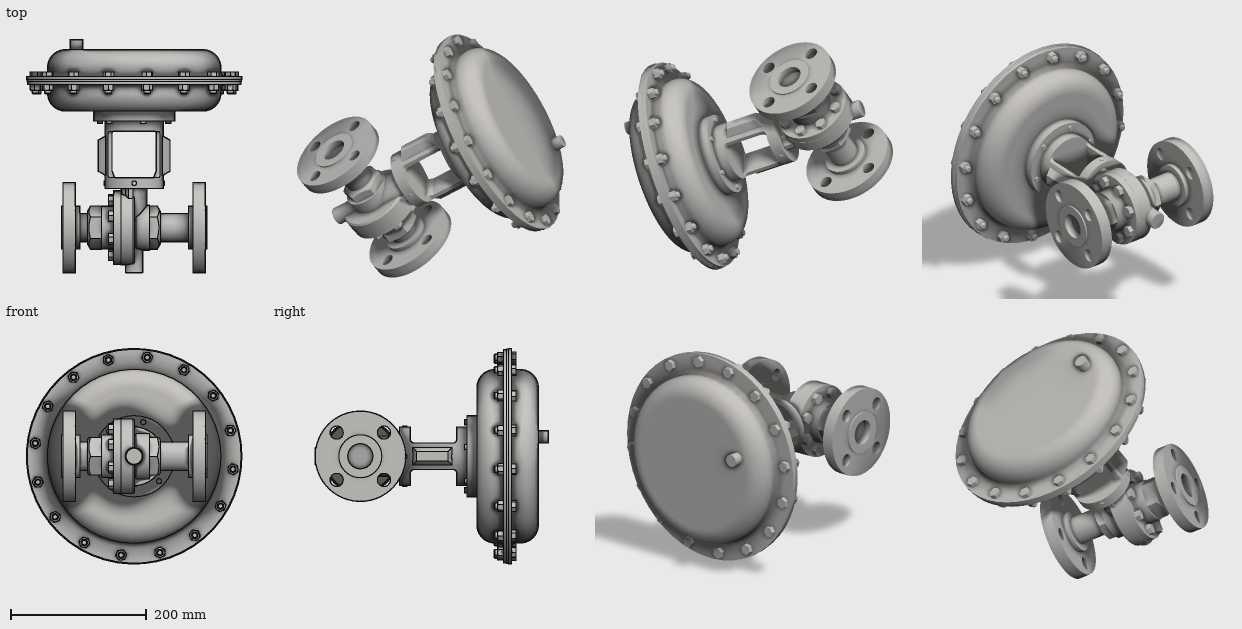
import cadquery as cq
import math


rim_radius = 158.8
front_rim_radius = 157.5
dome_radius = 128.0
dome_round = 26.8
rim_fillet = 6.5
dome_back_y = 262.2
rim_back_y = 222.7
diaphragm_back_y = 218.0
diaphragm_front_y = 215.5
diaphragm_radius = 158.0
rim_front_y = 210.5
dome_front_y = 171.5

casing_bolt_count = 16
casing_bolt_circle = 146.7
casing_bolt_start = 15.0
casing_nut_turn = -15.0
casing_head_turn = 15.0
casing_hex_radius = 8.2
casing_head_height = 7.0
casing_nut_height = 8.5
casing_nut_chamfer = 1.0
casing_shank_radius = 4.8
casing_shank_tip = 5.5
shank_tip_chamfer = 1.5

port_radius = 9.3
port_x = -85.0
port_z = 28.5
port_end_y = 277.0

mount_radius = 59.8
mount_front_y = 157.0
mount_screw_count = 6
mount_screw_circle = 52.0
mount_screw_start = 15.0
mount_screw_radius = 3.8
mount_screw_height = 3.5

yoke_diameter = 86.3
yoke_radius = yoke_diameter / 2
window_back_y = 142.0
window_front_y = 73.5
yoke_front_y = 57.5
window_half_width = 32.3
window_foot_width = 3.8
window_foot_length = 10.0
leg_half_depth = 19.5
leg_fillet = 5.5
window_corner_fillet = 2.5
yoke_screw_count = 4
yoke_screw_radius = 3.5
yoke_screw_height = 1.5

pad_root_x = 42.0
pad_face_x = 53.0
pad_root_length = 58.5
pad_root_depth = 25.8
pad_face_length = 46.0
pad_face_depth = 13.7
pad_shift = -1.7
pad_middle_y = (window_back_y + window_front_y) / 2 + pad_shift

body_radius = 55.0
cover_radius = 54.5
cover_x = -30.2
cover_joint_x = -19.5
body_end_x = 0.7
body_chamfer = 2.5
cover_neck_radius = 31.5
cover_neck_fillet = 2.5
outlet_radius = 33.5
groove_radius = 31.5
groove_end_x = 2.5
outlet_end_x = 22.5
bonnet_half_width = 19.2
bonnet_half_depth = 29.5
plug_diameter = 25.8
plug_radius = plug_diameter / 2
plug_chamfer = 1.0
lug_top_z = 34.0
lug_mid_z = 28.0
lug_low_z = 24.7
lug_top_x = -8.5
lug_mid_x = -12.5
lug_low_x = -18.0

cover_bolt_count = 8
cover_bolt_circle = 43.5
cover_bolt_start = 22.5
cover_hex_radius = 8.2
cover_head_height = 7.5
cover_hex_turn = 15.0

nut_radius = 32.0
nut_end_radius = 24.0
nut_bevel = 4.5
inlet_nut_outer_x = -68.7
inlet_nut_inner_x = -47.8
outlet_nut_outer_x = 38.5

pipe_radius = 21.0
flange_radius = 66.5
flange_inner_x = 86.5
flange_outer_x = 104.8
hub_inner_x = 79.7
face_outer_x = 107.2
hub_radius = 31.5
flange_hole_radius = 9.5
flange_hole_offset = 34.7
bore_radius = 18.5
bore_depth = 12.5

overlap = 3.5


def rod_x(radius, start, end, y=0.0, z=0.0):
    """Cylinder along X between two X positions."""
    base = cq.Workplane("YZ", origin=(start, y, z))
    return base.circle(radius).extrude(end - start)


def rod_y(radius, start, end, x=0.0, z=0.0):
    """Cylinder along Y between two Y positions."""
    base = cq.Workplane("XZ", origin=(x, start, z))
    return base.circle(radius).extrude(start - end)


def box_between(x_span, y_span, z_span):
    """Box given by its low and high limits on each axis."""
    spans = (x_span, y_span, z_span)
    sizes = [high - low for low, high in spans]
    middle = tuple((low + high) / 2 for low, high in spans)
    return cq.Workplane("XY").box(*sizes).translate(middle)


def casing_half(direction, dome_face_y, rim_face_y):
    """Solid dome about Y; direction is +1 for the back half, -1 for the front."""
    round_start_y = dome_face_y - direction * dome_round
    fillet_end_y = rim_face_y + direction * rim_fillet
    diagonal = math.sqrt(0.5)
    round_center_x = dome_radius - dome_round
    fillet_center_x = dome_radius + rim_fillet
    round_middle = (
        round_center_x + dome_round * diagonal,
        round_start_y + direction * dome_round * diagonal,
    )
    fillet_middle = (
        fillet_center_x - rim_fillet * diagonal,
        fillet_end_y - direction * rim_fillet * diagonal,
    )
    inner_y = rim_face_y - direction * overlap
    return (
        cq.Workplane("XY")
        .moveTo(0, dome_face_y)
        .lineTo(round_center_x, dome_face_y)
        .threePointArc(round_middle, (dome_radius, round_start_y))
        .lineTo(dome_radius, fillet_end_y)
        .threePointArc(fillet_middle, (fillet_center_x, rim_face_y))
        .lineTo(fillet_center_x, inner_y)
        .lineTo(0, inner_y)
        .close()
        .revolve(360, (0, 0, 0), (0, 1, 0))
    )


def casing_bolts():
    """Hexagon heads behind the rim, nuts and shank tips in front of it."""
    head_y = rim_back_y + casing_head_height
    nut_y = rim_front_y - casing_nut_height
    tip_y = nut_y - casing_shank_tip
    plane = cq.Workplane("XZ", origin=(0, head_y, 0))
    head = plane.polygon(6, 2 * casing_hex_radius).extrude(head_y - rim_back_y + overlap)
    nut_plane = cq.Workplane("XZ", origin=(0, rim_front_y + overlap, 0))
    nut_length = rim_front_y + overlap - nut_y
    nut = nut_plane.polygon(6, 2 * casing_hex_radius).extrude(nut_length)
    nut_blank = nut_plane.circle(casing_hex_radius).extrude(nut_length)
    nut = nut.intersect(nut_blank.faces("<Y").chamfer(casing_nut_chamfer))
    shank = rod_y(casing_shank_radius, rim_front_y, tip_y)
    shank = shank.faces("<Y").chamfer(shank_tip_chamfer)
    head = head.rotate((0, 0, 0), (0, -1, 0), casing_bolt_start + casing_head_turn)
    nut = nut.rotate((0, 0, 0), (0, -1, 0), casing_bolt_start + casing_nut_turn)
    bolt = head.union(nut).union(shank)
    start = math.radians(casing_bolt_start)
    bolt = bolt.translate((casing_bolt_circle * math.cos(start), 0, casing_bolt_circle * math.sin(start)))
    step = 360 / casing_bolt_count
    return [bolt.rotate((0, 0, 0), (0, -1, 0), i * step) for i in range(casing_bolt_count)]


def actuator():
    body = rod_y(rim_radius, rim_back_y, diaphragm_back_y)
    body = body.union(rod_y(diaphragm_radius, diaphragm_back_y, diaphragm_front_y))
    body = body.union(rod_y(front_rim_radius, diaphragm_front_y, rim_front_y))
    body = body.union(casing_half(1, dome_back_y, rim_back_y))
    body = body.union(casing_half(-1, dome_front_y, rim_front_y))
    body = body.union(rod_y(port_radius, port_end_y, dome_back_y - dome_round, port_x, port_z))
    for bolt in casing_bolts():
        body = body.union(bolt)
    return body


def mounting_disc():
    disc = rod_y(mount_radius, dome_front_y + overlap, mount_front_y)
    for i in range(mount_screw_count):
        angle = math.radians(mount_screw_start + i * 360 / mount_screw_count)
        x = mount_screw_circle * math.cos(angle)
        z = mount_screw_circle * math.sin(angle)
        tip_y = mount_front_y - mount_screw_height
        disc = disc.union(rod_y(mount_screw_radius, mount_front_y + overlap, tip_y, x, z))
    return disc


def leg_pad():
    """Tapered pad on the +X leg."""
    pad = (
        cq.Workplane("YZ", origin=(pad_root_x, pad_middle_y, 0))
        .rect(pad_root_length, pad_root_depth)
        .workplane(offset=pad_face_x - pad_root_x)
        .rect(pad_face_length, pad_face_depth)
        .loft()
    )
    half_length = pad_root_length / 2
    half_depth = pad_root_depth / 2
    root = box_between(
        (pad_root_x - overlap, pad_root_x),
        (pad_middle_y - half_length, pad_middle_y + half_length),
        (-half_depth, half_depth),
    )
    return pad.union(root)


def yoke():
    frame = rod_y(yoke_radius, mount_front_y + overlap, yoke_front_y)
    window_span = (window_front_y, window_back_y)
    full = (-yoke_radius, yoke_radius)
    for z_span in ((leg_half_depth, yoke_radius), (-yoke_radius, -leg_half_depth)):
        relief = box_between(full, window_span, z_span)
        inner_side = "<Z" if z_span[0] > 0 else ">Z"
        relief = relief.faces(inner_side).edges("|X").fillet(leg_fillet)
        frame = frame.cut(relief)
    foot_x = window_half_width - window_foot_width
    foot_y = window_front_y + window_foot_length
    opening = (
        cq.Workplane("XY", origin=(0, 0, -yoke_radius))
        .polyline([
            (-foot_x, window_front_y),
            (foot_x, window_front_y),
            (window_half_width, foot_y),
            (window_half_width, window_back_y),
            (-window_half_width, window_back_y),
            (-window_half_width, foot_y),
        ])
        .close()
        .extrude(2 * yoke_radius)
        .edges("|Z and >Y")
        .fillet(window_corner_fillet)
    )
    frame = frame.cut(opening)
    pad = leg_pad()
    frame = frame.union(pad).union(pad.mirror("YZ"))
    reach = yoke_radius + yoke_screw_height
    screw_y = (window_front_y + yoke_front_y) / 2
    screw = rod_x(yoke_screw_radius, yoke_radius - overlap, reach, screw_y)
    step = 360 / yoke_screw_count
    for i in range(yoke_screw_count):
        frame = frame.union(screw.rotate((0, 0, 0), (0, 1, 0), i * step))
    return frame


def cover_bolts():
    tip_x = cover_x - cover_head_height
    head = (
        cq.Workplane("YZ", origin=(tip_x, 0, 0))
        .polygon(6, 2 * cover_hex_radius)
        .extrude(cover_head_height + overlap)
        .rotate((0, 0, 0), (1, 0, 0), cover_bolt_start + cover_hex_turn)
    )
    start = math.radians(cover_bolt_start)
    head = head.translate((0, cover_bolt_circle * math.cos(start), cover_bolt_circle * math.sin(start)))
    step = 360 / cover_bolt_count
    return [head.rotate((0, 0, 0), (1, 0, 0), i * step) for i in range(cover_bolt_count)]


def valve_body():
    body = rod_x(body_radius, cover_joint_x, body_end_x)
    body = body.faces(">X").chamfer(body_chamfer)
    cover = rod_x(cover_radius, cover_x, cover_joint_x)
    cover = cover.union(rod_x(cover_neck_radius, inlet_nut_inner_x, cover_x))
    neck_foot = cq.selectors.RadiusNthSelector(0)
    cover = cover.faces("<X[1]").edges(neck_foot).fillet(cover_neck_fillet)
    body = body.union(cover)
    body = body.union(rod_x(groove_radius, body_end_x - overlap, groove_end_x))
    body = body.union(rod_x(outlet_radius, groove_end_x, outlet_end_x))
    bonnet = cq.Workplane("XZ", origin=(0, yoke_front_y + overlap, 0))
    bonnet = bonnet.ellipse(bonnet_half_width, bonnet_half_depth).extrude(yoke_front_y + overlap)
    body = body.union(bonnet)
    plug = rod_y(plug_radius, 0, -flange_radius)
    body = body.union(plug.faces("<Y").chamfer(plug_chamfer))
    lug = (
        cq.Workplane("XZ", origin=(0, yoke_front_y, 0))
        .polyline([
            (body_end_x - body_chamfer, -lug_top_z),
            (body_end_x - body_chamfer, lug_top_z),
            (lug_top_x, lug_top_z),
            (lug_mid_x, lug_mid_z),
            (lug_low_x, lug_low_z),
            (lug_low_x, -lug_low_z),
            (lug_mid_x, -lug_mid_z),
            (lug_top_x, -lug_top_z),
        ])
        .close()
        .extrude(yoke_front_y)
    )
    body = body.union(lug)
    for bolt in cover_bolts():
        body = body.union(bolt)
    return body


def union_nut(inner_x, outer_x):
    """Hexagon nut on the pipe, bevelled by a cone at its outer end."""
    direction = math.copysign(1, outer_x - inner_x)
    length = abs(outer_x - inner_x)
    nut = cq.Workplane("YZ", origin=(inner_x, 0, 0)).polygon(6, 2 * nut_radius).extrude(direction * length)
    envelope = (
        cq.Workplane("XY")
        .polyline([
            (inner_x, 0),
            (inner_x, nut_radius),
            (outer_x - direction * nut_bevel, nut_radius),
            (outer_x, nut_end_radius),
            (outer_x, 0),
        ])
        .close()
        .revolve(360, (0, 0, 0), (1, 0, 0))
    )
    return nut.intersect(envelope)


def pipe_flange():
    """Flange on the +X side with its hub, raised face and bolt holes."""
    flange = rod_x(flange_radius, flange_inner_x, flange_outer_x)
    flange = flange.union(rod_x(hub_radius, hub_inner_x, face_outer_x))
    for y in (-flange_hole_offset, flange_hole_offset):
        for z in (-flange_hole_offset, flange_hole_offset):
            flange = flange.cut(rod_x(flange_hole_radius, flange_inner_x, flange_outer_x, y, z))
    return flange


def pipework():
    flange = pipe_flange()
    run = rod_x(pipe_radius, -flange_inner_x, flange_inner_x)
    run = run.union(flange).union(flange.mirror("YZ"))
    run = run.union(union_nut(inlet_nut_inner_x, inlet_nut_outer_x))
    run = run.union(union_nut(outlet_end_x, outlet_nut_outer_x))
    bore = rod_x(bore_radius, face_outer_x - bore_depth, face_outer_x)
    return run.cut(bore).cut(bore.mirror("YZ"))


result = actuator().union(mounting_disc()).union(yoke()).union(valve_body()).union(pipework())